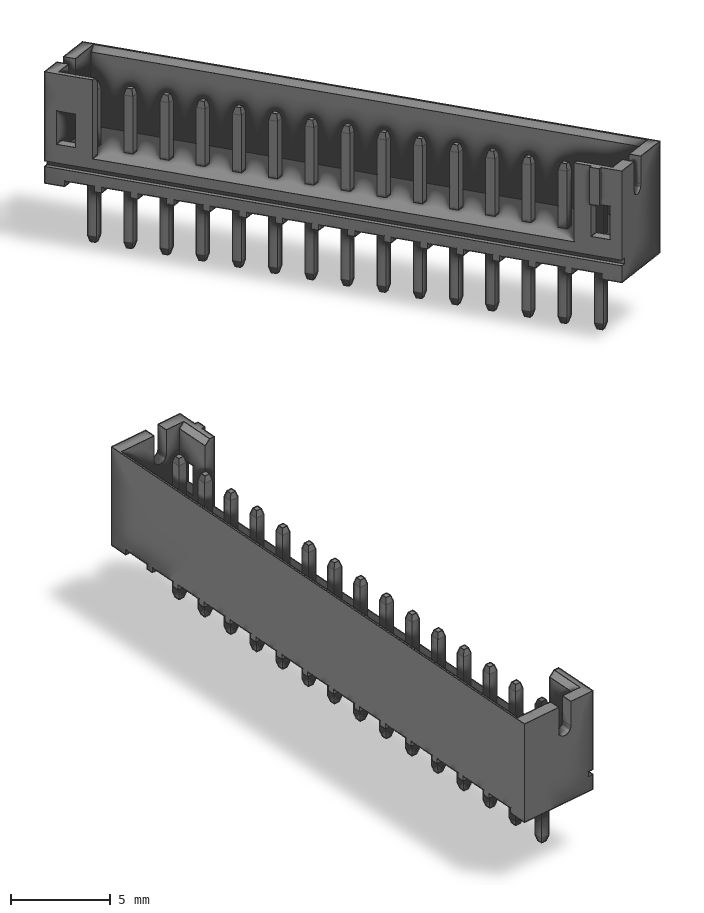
import cadquery as cq

PIN_COUNT = 15
PITCH = 2.0
PIN_SIZE = 0.5
PIN_TOP = 5.2
PIN_BOTTOM = -3.4
PIN_TAPER_HEIGHT = 0.35
PIN_TIP_SIZE = 0.3
PIN_XS = [(i - (PIN_COUNT - 1) / 2) * PITCH for i in range(PIN_COUNT)]

END_MARGIN = 1.95
LENGTH = (PIN_COUNT - 1) * PITCH + 2 * END_MARGIN
DEPTH = 4.5
HEIGHT = 6.0
FRONT_Y = -1.7
BACK_Y = FRONT_Y + DEPTH
END_X = LENGTH / 2

END_WALL = 0.65
BACK_WALL = 0.4
FRONT_WALL = 0.6
FLOOR_Z = 1.75
RIM_BEVEL_HEIGHT = 0.3
BACK_BEVEL_WIDTH = 0.3
FRONT_BEVEL_WIDTH = 0.3
CAVITY_X = END_X - END_WALL
CAVITY_FRONT_Y = FRONT_Y + FRONT_WALL
CAVITY_BACK_Y = BACK_Y - BACK_WALL

LIP_LENGTH = 2.65
OPENING_X = END_X - LIP_LENGTH

LIP_HOLE_WIDTH = 1.05
LIP_HOLE_BOTTOM = 2.2
LIP_HOLE_TOP = 4.0

SLOT_WIDTH = 0.8
SLOT_Y = 0.15
SLOT_BOTTOM = 4.1

GROOVE_BOTTOM = 0.9
GROOVE_HEIGHT = 0.3
GROOVE_DEPTH = 0.3

STANDOFF = 0.3
FOOT_LENGTH = 1.1
RIB_WIDTH = 0.4

KEY_WIDTH = 0.55
KEY_DEPTH = 0.2
KEY_INNER_X = CAVITY_X - LIP_HOLE_WIDTH


def block(x0, x1, y0, y1, z0, z1):
    """Box spanning the given limits."""
    return cq.Workplane("XY").box(x1 - x0, y1 - y0, z1 - z0, centered=False).translate((x0, y0, z0))


def cavity():
    """Inside of the housing, flared outward at the rim of the front and back walls."""
    bevel_z = HEIGHT - RIM_BEVEL_HEIGHT
    profile = [
        (CAVITY_FRONT_Y, FLOOR_Z),
        (CAVITY_BACK_Y, FLOOR_Z),
        (CAVITY_BACK_Y, bevel_z),
        (CAVITY_BACK_Y + BACK_BEVEL_WIDTH, HEIGHT),
        (CAVITY_FRONT_Y - FRONT_BEVEL_WIDTH, HEIGHT),
        (CAVITY_FRONT_Y, bevel_z),
    ]
    return cq.Workplane("YZ").polyline(profile).close().extrude(CAVITY_X, both=True)


def front_opening():
    return block(-OPENING_X, OPENING_X, FRONT_Y, CAVITY_FRONT_Y, FLOOR_Z, HEIGHT)


def lip_hole(side):
    outer_x = side * CAVITY_X
    inner_x = side * (CAVITY_X - LIP_HOLE_WIDTH)
    x0, x1 = sorted((outer_x, inner_x))
    return block(x0, x1, FRONT_Y, CAVITY_FRONT_Y, LIP_HOLE_BOTTOM, LIP_HOLE_TOP)


def end_slots():
    """Both end-wall slots as one cutter running the length of the housing."""
    radius = SLOT_WIDTH / 2
    arc_z = SLOT_BOTTOM + radius
    return (
        cq.Workplane("YZ")
        .moveTo(SLOT_Y - radius, HEIGHT)
        .lineTo(SLOT_Y - radius, arc_z)
        .threePointArc((SLOT_Y, SLOT_BOTTOM), (SLOT_Y + radius, arc_z))
        .lineTo(SLOT_Y + radius, HEIGHT)
        .close()
        .extrude(END_X, both=True)
    )


def front_groove():
    return block(-END_X, END_X, FRONT_Y, FRONT_Y + GROOVE_DEPTH, GROOVE_BOTTOM, GROOVE_BOTTOM + GROOVE_HEIGHT)


def underside_gaps():
    """Space under the housing between the end feet, interrupted by the ribs."""
    foot_x = END_X - FOOT_LENGTH
    gaps = block(-foot_x, foot_x, FRONT_Y, BACK_Y, 0, STANDOFF)
    for pin_x in PIN_XS[:-1]:
        rib_x = pin_x + PITCH / 2
        gaps = gaps.cut(block(rib_x - RIB_WIDTH / 2, rib_x + RIB_WIDTH / 2, FRONT_Y, BACK_Y, 0, STANDOFF))
    return gaps


def key_rib():
    return block(KEY_INNER_X, KEY_INNER_X + KEY_WIDTH, FRONT_Y - KEY_DEPTH, FRONT_Y, LIP_HOLE_TOP, HEIGHT)


def pin(x):
    """Square post tapered at both ends."""
    shank_bottom = PIN_BOTTOM + PIN_TAPER_HEIGHT
    shank_top = PIN_TOP - PIN_TAPER_HEIGHT
    half = PIN_SIZE / 2
    shank = block(-half, half, -half, half, shank_bottom, shank_top)
    top_tip = (
        shank.faces(">Z").workplane().rect(PIN_SIZE, PIN_SIZE)
        .workplane(offset=PIN_TAPER_HEIGHT).rect(PIN_TIP_SIZE, PIN_TIP_SIZE)
        .loft(combine=False)
    )
    bottom_tip = top_tip.mirror("XY", (0, 0, (shank_bottom + shank_top) / 2))
    return shank.union(top_tip).union(bottom_tip).translate((x, 0, 0))


housing = block(-END_X, END_X, FRONT_Y, BACK_Y, 0, HEIGHT)
housing = housing.cut(cavity())
housing = housing.cut(front_opening())
housing = housing.cut(lip_hole(-1)).cut(lip_hole(1))
housing = housing.cut(end_slots())
housing = housing.cut(front_groove())
housing = housing.cut(underside_gaps())

result = housing.union(key_rib())
for pin_x in PIN_XS:
    result = result.union(pin(pin_x))